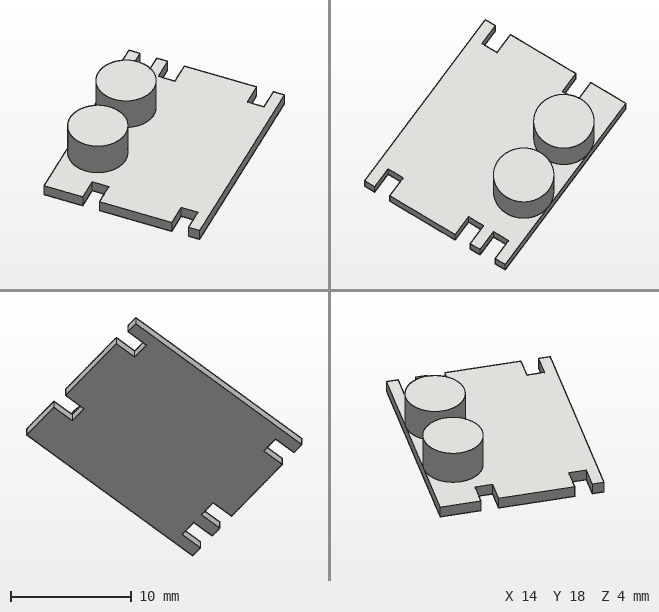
import cadquery as cq

plate_width = 14.0
plate_length = 18.0
plate_thickness = 1.0

total_height = 4.0
post_diameter = 5.0
post_x = post_diameter / 2
post_y_positions = (5.5, 11.5)

notch_width = 1.5
notch_depth = 2.0
front_notch_starts = (3.5, 11.5)
extra_back_notch_start = 1.0
back_notch_starts = (extra_back_notch_start, *front_notch_starts)


def make_notch(x_start, y_start):
    """Block that cuts one notch through the plate."""
    return (
        cq.Workplane("XY")
        .box(notch_width, notch_depth, plate_thickness, centered=False)
        .translate((x_start, y_start, 0))
    )


def make_plate():
    plate = cq.Workplane("XY").box(plate_width, plate_length, plate_thickness, centered=False)
    for x_start in front_notch_starts:
        plate = plate.cut(make_notch(x_start, 0))
    for x_start in back_notch_starts:
        plate = plate.cut(make_notch(x_start, plate_length - notch_depth))
    return plate


def make_posts():
    return (
        cq.Workplane("XY")
        .workplane(offset=plate_thickness)
        .pushPoints([(post_x, y) for y in post_y_positions])
        .circle(post_diameter / 2)
        .extrude(total_height - plate_thickness)
    )


result = make_plate().union(make_posts())